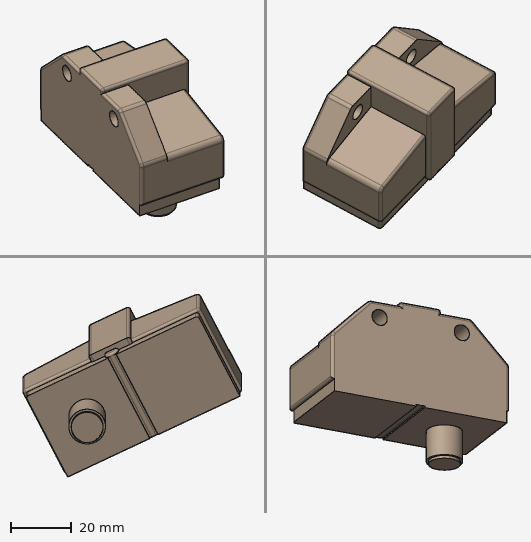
import cadquery as cq
import math

LENGTH = 65.0
HALF_LENGTH = LENGTH / 2
EDGE_RADIUS = 1.0
CORNER_RADIUS = 2.0

COVER_DEPTH = 32.0
COVER_BOTTOM = 4.3
COVER_TOP = 34.5
SHOULDER_HEIGHT = 20.55
TOP_HALF_WIDTH = HALF_LENGTH - (COVER_TOP - SHOULDER_HEIGHT)
FRONT_DEPTH = 10.0
REAR_SLOPE = 10.0
REAR_RIDGE = SHOULDER_HEIGHT + HALF_LENGTH * math.tan(math.radians(REAR_SLOPE))

RIB_WIDTH = 15.0
RIB_DEPTH = 33.5
RIB_BOTTOM = 3.6
RIB_TOP = 36.0

BASE_LENGTH = LENGTH - 2 * EDGE_RADIUS
BASE_DEPTH = COVER_DEPTH - EDGE_RADIUS
BASE_TOP = COVER_BOTTOM + 2 * EDGE_RADIUS
NOTCH_WIDTH = 3.0
NOTCH_HEIGHT = 0.6

HOLE_DIAMETER = 5.5
HOLE_SPACING = 30.0
HOLE_HEIGHT = 29.0

CONNECTOR_X = 16.5
CONNECTOR_Y = 16.0
CONNECTOR_DIAMETER = 12.0
CONNECTOR_LENGTH = 10.5
TIP_DIAMETER = 10.45
TIP_LENGTH = 1.0

BUTTON_DIAMETER = 5.0
BUTTON_BOTTOM = 0.45
BUTTON_HEIGHT = BUTTON_BOTTOM + BUTTON_DIAMETER / 2


def box(length, y_start, y_end, z_bottom, z_top):
    """Box centred on x = 0."""
    corner = (-length / 2, y_start, z_bottom)
    return cq.Workplane("XY").box(length, y_end - y_start, z_top - z_bottom, centered=False).translate(corner)


def outline_prism(half_outline, y_start, y_end):
    """Prism along Y from the +X half of an outline, mirrored about x = 0."""
    mirrored = [(-x, z) for x, z in reversed(half_outline) if x > 0]
    plane = cq.Workplane("XZ", origin=(0, y_start, 0))
    return plane.polyline(half_outline + mirrored).close().extrude(y_start - y_end)


def cylinder_along_y(diameter, x, z, y_end):
    return cq.Workplane("XZ").center(x, z).circle(diameter / 2).extrude(-y_end)


def make_cover_block(half_outline, y_start, y_end, end_edges):
    """Cover prism with rounded outline corners, underside edges and selected end edges."""
    block = outline_prism(half_outline, y_start, y_end)
    outer_corners = block.edges("|Y").filter(is_upper_corner)
    block = outer_corners.fillet(CORNER_RADIUS)
    return block.edges(f"(|Y and <Z) or ({end_edges})").fillet(EDGE_RADIUS)


def is_upper_corner(edge):
    """True for outline corners above the underside, except the ridge on the centre plane."""
    centre = edge.Center()
    return centre.z > COVER_BOTTOM + EDGE_RADIUS and abs(centre.x) > EDGE_RADIUS


def make_cover():
    side = [(HALF_LENGTH, COVER_BOTTOM), (HALF_LENGTH, SHOULDER_HEIGHT)]
    front = make_cover_block(side + [(TOP_HALF_WIDTH, COVER_TOP)], 0, FRONT_DEPTH, "<Y and (not <Z)")
    rear = make_cover_block(side + [(0, REAR_RIDGE)], FRONT_DEPTH, COVER_DEPTH, ">Y")
    return front.union(rear)


def make_rib():
    """Rib rounded all over except along the two ends of its underside."""
    rib = box(RIB_WIDTH, 0, RIB_DEPTH, RIB_BOTTOM, RIB_TOP)
    return rib.edges("not (|X and <Z)").fillet(EDGE_RADIUS)


def make_base():
    base = box(BASE_LENGTH, 0, BASE_DEPTH, 0, BASE_TOP)
    return base.edges("|Z and >Y").fillet(EDGE_RADIUS)


def make_button():
    button = cylinder_along_y(BUTTON_DIAMETER, 0, BUTTON_HEIGHT, COVER_DEPTH)
    return button.faces(">Y").edges().fillet(EDGE_RADIUS)


def make_connector():
    underside = cq.Workplane("XY").center(CONNECTOR_X, CONNECTOR_Y)
    body = underside.circle(CONNECTOR_DIAMETER / 2).extrude(-CONNECTOR_LENGTH)
    tip = underside.circle(TIP_DIAMETER / 2).extrude(-CONNECTOR_LENGTH - TIP_LENGTH)
    return body.union(tip)


def make_holes():
    left, right = [
        cylinder_along_y(HOLE_DIAMETER, side * HOLE_SPACING / 2, HOLE_HEIGHT, COVER_DEPTH)
        for side in (-1, 1)
    ]
    return left.union(right)


def make_notch():
    """Shallow groove running front to back across the underside of the base."""
    return box(NOTCH_WIDTH, 0, BASE_DEPTH, 0, NOTCH_HEIGHT)


base = make_base().cut(make_notch())
result = make_cover().union(base).union(make_rib()).union(make_button()).union(make_connector())
result = result.cut(make_holes())